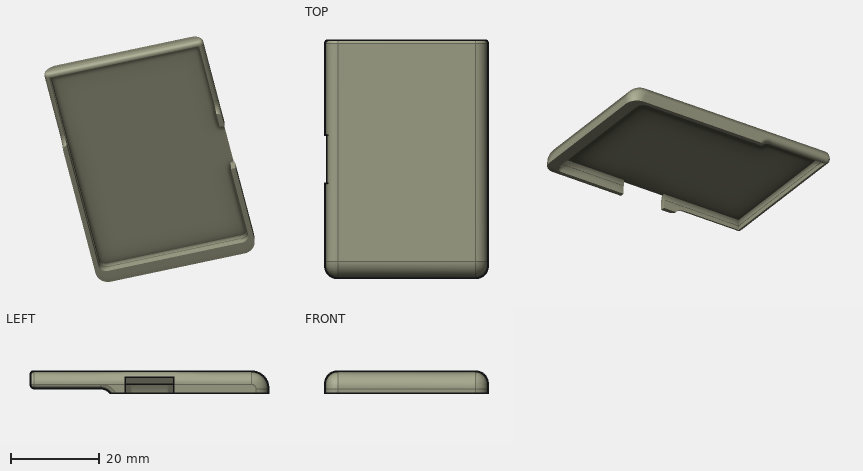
import cadquery as cq
import math

width = 37.0
length = 54.0
height = 5.0

wall = 1.2
front_wall = 2.9
cavity_corner_radius = 1.75
ledge_width = 0.1

front_straight = 1.1
front_radius = height - front_straight
side_radius = 2.9
back_radius = 0.75
bottom_radius = 0.95

back_bottom = 1.1
step_start = 38.05
step_radius = 2.85
step_center_z = back_bottom - step_radius

notch_width = 10.95
notch_center = length / 2
notch_top = 3.6
cavity_top = notch_top
ledge_top = height - side_radius

trim_depth = 1.1


def rounded_block():
    """Block with rounded front, sides and front corners."""
    block = (
        cq.Workplane("YZ", origin=(-width / 2, 0, 0))
        .moveTo(0, -trim_depth)
        .lineTo(length, -trim_depth)
        .lineTo(length, height)
        .lineTo(front_radius, height)
        .radiusArc((0, front_straight), -front_radius)
        .close()
        .extrude(width)
    )
    return block.faces("<X or >X").edges("not(>Y or <Z)").fillet(side_radius)


def below_step():
    """Space under the raised back part, bounded by the concave curve."""
    drop = -trim_depth - step_center_z
    curve_end = step_start - math.sqrt(step_radius**2 - drop**2)
    return (
        cq.Workplane("YZ", origin=(-width, 0, 0))
        .moveTo(curve_end, -trim_depth)
        .radiusArc((step_start, back_bottom), step_radius)
        .lineTo(2 * length, back_bottom)
        .lineTo(2 * length, -trim_depth)
        .close()
        .extrude(2 * width)
    )


def outer_body():
    """Outside shape with the underside rim and the back end rounded."""
    body = rounded_block().cut(below_step())
    rim_box = cq.selectors.BoxSelector(
        (-width, step_start - step_radius, step_center_z + step_radius / 2),
        (width, 2 * length, back_bottom + bottom_radius / 2),
    )
    side_rim = body.faces("<X or >X").edges(rim_box)
    back_rim = body.faces(">Y").edges("<Z")
    body = side_rim.add(back_rim).fillet(bottom_radius)
    return body.faces(">Y").edges("not <Z").fillet(back_radius)


def cavity(top, widening):
    """Straight-walled hollow from below the part up to the given height."""
    front = front_wall - widening
    back = length - wall + widening
    return (
        cq.Workplane("XY", origin=(0, (front + back) / 2, -trim_depth))
        .rect(width - 2 * (wall - widening), back - front)
        .extrude(top + trim_depth)
        .edges("|Z and <Y")
        .fillet(cavity_corner_radius)
    )


def notch():
    """Rectangular opening through the -X wall, open at the bottom."""
    return (
        cq.Workplane("XY", origin=(-width / 2, notch_center, 0))
        .box(width / 2, notch_width, 2 * notch_top)
    )


def trim_block():
    """Everything below the flat bottom at Z = 0."""
    return (
        cq.Workplane("XY")
        .box(2 * width, 4 * length, 2 * trim_depth, centered=(True, True, False))
        .translate((0, 0, -2 * trim_depth))
    )


result = (
    outer_body()
    .cut(cavity(cavity_top, 0))
    .cut(cavity(ledge_top, ledge_width))
    .cut(notch())
    .cut(trim_block())
)